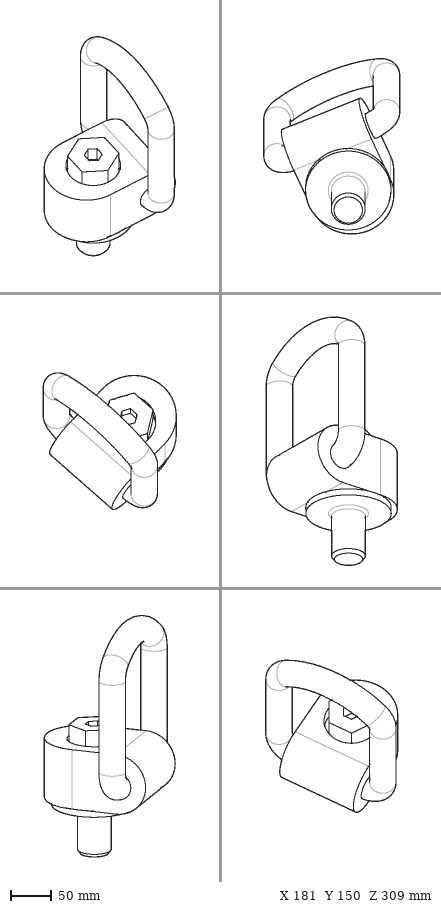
import cadquery as cq
import math


overall_height = 309.0

housing_width = 105.0
housing_height = 77.2
housing_depth = 150.0
nose_radius = housing_width / 2
nose_center_y = -10.2
back_radius = housing_height / 2
back_y = nose_center_y - nose_radius + housing_depth
back_center_y = back_y - back_radius

head_recess_diameter = 67.7
head_recess_depth = 19.5
head_rise = 19.5
head_across_flats = 55.3
socket_across_flats = 19.0
socket_depth = 19.5
flange_diameter = 106.0
flange_thickness = 8.3
shank_diameter = 42.0
shank_length = 63.0
neck_fillet = 3.7
tip_chamfer_width = 3.5
tip_chamfer_length = 4.5

rod_diameter = 33.0
ring_width = 181.0
bend_radius = 25.5
ring_setback = 36.0
ring_y = back_y - ring_setback
leg_bottom_z = 61.2
leg_top_z = 179.5
ring_bottom_z = leg_bottom_z - bend_radius
ring_top_z = overall_height - flange_thickness - shank_length - rod_diameter / 2
leg_x = (ring_width - rod_diameter) / 2
bend_center_x = leg_x - bend_radius


def hexagon_prism(across_flats, bottom_z, height):
    """Upright hexagon on the bolt axis, with two corners on the X axis."""
    across_corners = across_flats / math.cos(math.radians(30))
    return cq.Workplane("XY").workplane(offset=bottom_z).polygon(6, across_corners).extrude(height)


def make_housing():
    """Block with an upright round nose in front and a round back lying along X."""
    plan = (
        cq.Workplane("XY")
        .moveTo(-nose_radius, back_y)
        .lineTo(-nose_radius, nose_center_y)
        .threePointArc((0, nose_center_y - nose_radius), (nose_radius, nose_center_y))
        .lineTo(nose_radius, back_y)
        .close()
        .extrude(housing_height)
    )
    side = (
        cq.Workplane("YZ")
        .moveTo(nose_center_y - nose_radius, 0)
        .lineTo(back_center_y, 0)
        .threePointArc((back_y, back_radius), (back_center_y, housing_height))
        .lineTo(nose_center_y - nose_radius, housing_height)
        .close()
        .extrude(nose_radius, both=True)
    )
    return plan.intersect(side)


def make_flange_and_shank():
    """Turned lower end of the bolt: flange, filleted neck, shank and chamfered tip."""
    shank_radius = shank_diameter / 2
    flange_bottom_z = -flange_thickness
    tip_z = flange_bottom_z - shank_length
    fillet_middle = neck_fillet * (1 - math.sqrt(0.5))
    return (
        cq.Workplane("XZ")
        .lineTo(flange_diameter / 2, 0)
        .lineTo(flange_diameter / 2, flange_bottom_z)
        .lineTo(shank_radius + neck_fillet, flange_bottom_z)
        .threePointArc(
            (shank_radius + fillet_middle, flange_bottom_z - fillet_middle),
            (shank_radius, flange_bottom_z - neck_fillet),
        )
        .lineTo(shank_radius, tip_z + tip_chamfer_length)
        .lineTo(shank_radius - tip_chamfer_width, tip_z)
        .lineTo(0, tip_z)
        .close()
        .revolve(360, (0, 0), (0, 1))
    )


def make_swivel_body(ring_solid):
    """Housing and bolt as one solid, with a passage that the ring fills."""
    recess_floor_z = housing_height - head_recess_depth
    recess = (
        cq.Workplane("XY")
        .workplane(offset=recess_floor_z)
        .circle(head_recess_diameter / 2)
        .extrude(head_recess_depth)
    )
    head_top_z = housing_height + head_rise
    head = hexagon_prism(head_across_flats, recess_floor_z, head_top_z - recess_floor_z)
    socket = hexagon_prism(socket_across_flats, head_top_z - socket_depth, socket_depth)
    body = make_housing().cut(recess).union(head).union(make_flange_and_shank())
    return body.cut(socket).cut(ring_solid)


def make_ring():
    """Round rod swept along a closed loop: two legs, four bends, a bar and a crown arc."""
    crown_rise = ring_top_z - leg_top_z
    crown_radius = (bend_center_x**2 + crown_rise**2 - bend_radius**2) / (2 * (crown_rise - bend_radius))
    crown_angle = math.atan2(crown_radius - crown_rise, bend_center_x)

    def bend_point(center_z, angle):
        """Point on the right-hand bend at this angle from +X."""
        return (bend_center_x + bend_radius * math.cos(angle), center_z + bend_radius * math.sin(angle))

    def mirrored(point):
        return (-point[0], point[1])

    crown_end = bend_point(leg_top_z, crown_angle)
    upper_middle = bend_point(leg_top_z, crown_angle / 2)
    lower_middle = bend_point(leg_bottom_z, -math.pi / 4)
    path = (
        cq.Workplane("XZ", origin=(0, ring_y, 0))
        .moveTo(leg_x, leg_bottom_z)
        .lineTo(leg_x, leg_top_z)
        .threePointArc(upper_middle, crown_end)
        .threePointArc((0, ring_top_z), mirrored(crown_end))
        .threePointArc(mirrored(upper_middle), (-leg_x, leg_top_z))
        .lineTo(-leg_x, leg_bottom_z)
        .threePointArc(mirrored(lower_middle), (-bend_center_x, ring_bottom_z))
        .lineTo(bend_center_x, ring_bottom_z)
        .threePointArc(lower_middle, (leg_x, leg_bottom_z))
        .close()
    )
    rod_section = cq.Workplane("XY", origin=(leg_x, ring_y, leg_bottom_z)).circle(rod_diameter / 2)
    return rod_section.sweep(path)


ring = make_ring()
swivel_body = make_swivel_body(ring)

result = cq.Compound.makeCompound([swivel_body.solids().val(), ring.val()])